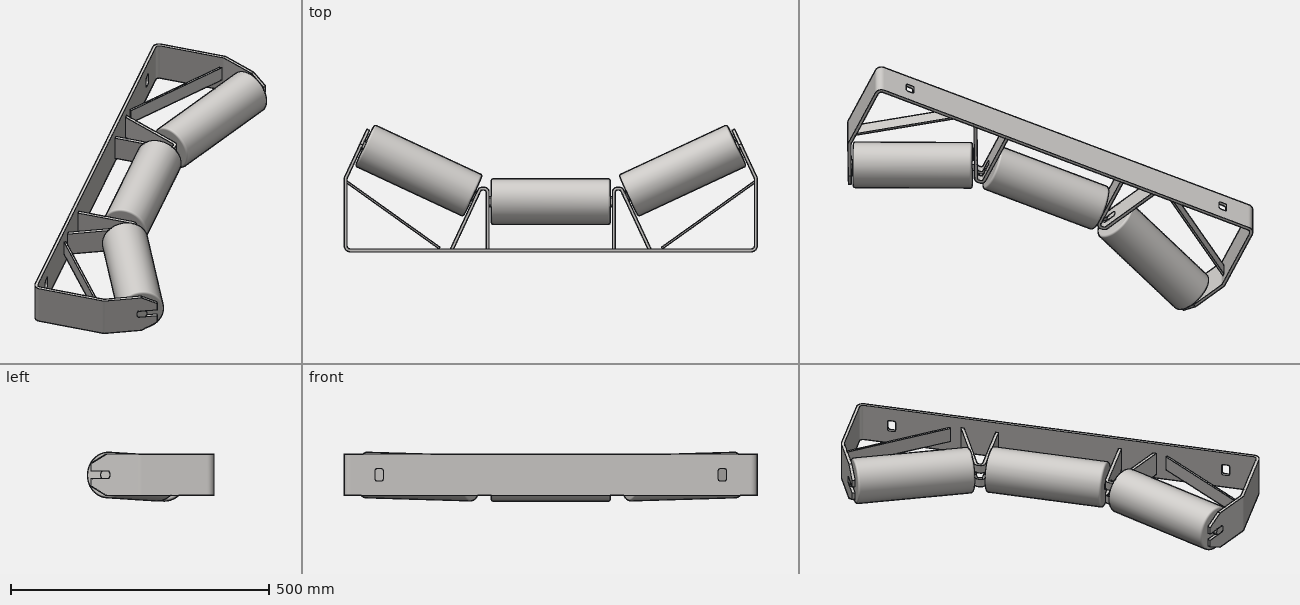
import cadquery as cq
import math

thickness = 6.0
frame_length = 800.0
frame_height = 80.0
mid_height = frame_height / 2
half_length = frame_length / 2
frame_bend = 13.0
bracket_bend = 10.0

roller_length = 230.0
roller_diameter = 89.0
rim_fillet = 4.0
shaft_diameter = 20.0
shaft_flats = 14.0
roller_gap = 4.0
plate_face = roller_length / 2 + roller_gap
shaft_half = plate_face + thickness

trough_angle = 25.0
inner_drop = 6.8
dip_angle = math.degrees(math.asin(inner_drop / (2 * shaft_half)))
centre_roller_y = 98.0
centre_roller_z = mid_height - inner_drop
side_roller_x = -255.0
side_roller_y = 158.0
side_roller_z = mid_height - inner_drop / 2

wing_reach = 30.0
wing_chamfer_along = 31.0
wing_chamfer_high = 18.0

mount_x = 332.0
mount_width = 16.0
mount_height = 24.0
mount_corner = 4.0

bracket_top = 126.0
bracket_height = 50.0
strut_thickness = 4.0
strut_height = 30.0
strut_angle = 35.5
strut_wall_y = 133.0

slot_length = 48.0

axis_x = math.cos(math.radians(trough_angle))
axis_y = -math.sin(math.radians(trough_angle))
up_x = -axis_y
up_y = axis_x


def side_point(along, up):
    """Point in plan, measured from the left roller's centre along its axis and its plates."""
    return (
        side_roller_x + along * axis_x + up * up_x,
        side_roller_y + along * axis_y + up * up_y,
    )


def side_line_at_x(along, x):
    """Where a plate face at this distance along the left roller's axis crosses the given X."""
    base_x, base_y = side_point(along, 0)
    return (x, base_y + (x - base_x) * up_y / up_x)


def side_line_at_y(along, y):
    """Where a plate face at this distance along the left roller's axis crosses the given Y."""
    base_x, base_y = side_point(along, 0)
    return (base_x + (y - base_y) * up_x / up_y, y)


def mirrored(points):
    """The points reflected to the +X side, in reverse order."""
    return [(-x, y) for x, y in reversed(points)]


def bent_sheet(outer, inner, outer_radius, height):
    """Upright sheet between two matching outlines, with every bend rounded."""
    sheet = cq.Workplane("XY").polyline(outer + inner[::-1]).close().extrude(height)
    for corners, radius in ((outer, outer_radius), (inner, outer_radius - thickness)):
        for x, y in corners[1:-1]:
            corner = cq.selectors.NearestToPointSelector((x, y, height / 2))
            sheet = sheet.edges("|Z").edges(corner).fillet(radius)
    return sheet


def mirror_x(body):
    """The same body on the opposite side of the middle plane X = 0."""
    return body.mirror("YZ")


def place_side(body):
    """Move a body from the roller's own axes (shaft on X) to the left side position."""
    dipped = body.rotate((0, 0, 0), (0, 1, 0), dip_angle)
    turned = dipped.rotate((0, 0, 0), (0, 0, 1), -trough_angle)
    return turned.translate((side_roller_x, side_roller_y, side_roller_z))


def place_centre(body):
    return body.translate((0, centre_roller_y, centre_roller_z))


def cylinder_along_x(diameter, half):
    return cq.Workplane("YZ", origin=(-half, 0, 0)).circle(diameter / 2).extrude(2 * half)


def shaft_bar(half):
    """Round bar along X with a flat on its top and bottom."""
    bar = cylinder_along_x(shaft_diameter, half)
    flats = cq.Workplane("XY").box(2 * half, shaft_diameter, shaft_flats)
    return bar.intersect(flats)


def make_roller():
    shell = cylinder_along_x(roller_diameter, roller_length / 2)
    return shell.edges("%CIRCLE").fillet(rim_fillet).union(shaft_bar(shaft_half))


def make_shaft_slots():
    """Cutter for the open slots at both ends of a roller; its round bottom fits the shaft."""
    half = shaft_half + bracket_bend
    channel = cq.Workplane("XY").box(2 * half, slot_length, shaft_flats)
    channel = channel.translate((0, slot_length / 2, 0)).union(shaft_bar(half))
    return channel.cut(cq.Workplane("XY").box(roller_length, 4 * slot_length, roller_diameter))


roller = make_roller()
left_roller = place_side(roller)
rollers = [left_roller, place_centre(roller), mirror_x(left_roller)]

side_slots = place_side(make_shaft_slots())
centre_slots = place_centre(make_shaft_slots())


def wing_corner_cutter(side):
    """Wedge that bevels the upper (side = 1) or lower (side = -1) corner of the left wing tip."""
    edge_z = side * mid_height
    wedge = cq.Workplane("YZ").polyline([
        (wing_reach - wing_chamfer_along, edge_z),
        (wing_reach, edge_z),
        (wing_reach, edge_z - side * wing_chamfer_high),
    ]).close().extrude(-frame_height - shaft_half)
    turned = wedge.rotate((0, 0, 0), (0, 0, 1), -trough_angle)
    return turned.translate((side_roller_x, side_roller_y, mid_height))


def make_frame():
    outer_left = [
        side_point(-shaft_half, wing_reach),
        side_line_at_x(-shaft_half, -half_length),
        (-half_length, 0),
    ]
    inner_left = [
        side_point(-plate_face, wing_reach),
        side_line_at_x(-plate_face, -half_length + thickness),
        (-half_length + thickness, thickness),
    ]
    frame = bent_sheet(
        outer_left + mirrored(outer_left),
        inner_left + mirrored(inner_left),
        frame_bend,
        frame_height,
    )
    cutters = [wing_corner_cutter(1), wing_corner_cutter(-1), side_slots]
    for cutter in cutters:
        frame = frame.cut(cutter).cut(mirror_x(cutter))
    mounts = (
        cq.Workplane("XY")
        .pushPoints([(-mount_x, 0), (mount_x, 0)])
        .box(mount_width, 4 * thickness, mount_height)
        .edges("|Y").fillet(mount_corner)
        .translate((0, 0, mid_height))
    )
    return frame.cut(mounts)


def make_left_bracket():
    inner_top = bracket_top - thickness
    outer = [
        side_line_at_y(plate_face, thickness),
        side_line_at_y(plate_face, bracket_top),
        (-plate_face, bracket_top),
        (-plate_face, thickness),
    ]
    inner = [
        side_line_at_y(shaft_half, thickness),
        side_line_at_y(shaft_half, inner_top),
        (-shaft_half, inner_top),
        (-shaft_half, thickness),
    ]
    bracket = bent_sheet(outer, inner, bracket_bend, bracket_height)
    bracket = bracket.translate((0, 0, centre_roller_z - bracket_height / 2))
    return bracket.cut(side_slots).cut(centre_slots)


def make_left_strut():
    wall_x = -half_length + thickness
    angle = math.radians(strut_angle)
    foot_x = wall_x + (strut_wall_y - thickness) / math.tan(angle)
    outline = [
        (wall_x, strut_wall_y),
        (wall_x, strut_wall_y + strut_thickness / math.cos(angle)),
        (foot_x + strut_thickness * math.sin(angle), thickness + strut_thickness * math.cos(angle)),
        (foot_x, thickness),
    ]
    bar = cq.Workplane("XY").polyline(outline).close().extrude(strut_height)
    return bar.translate((0, 0, mid_height - strut_height / 2))


frame = make_frame()
left_bracket = make_left_bracket()
brackets = [left_bracket, mirror_x(left_bracket)]
left_strut = make_left_strut()
struts = [left_strut, mirror_x(left_strut)]

bodies = [frame] + brackets + struts + rollers
result = cq.Compound.makeCompound([body.solids().val() for body in bodies])